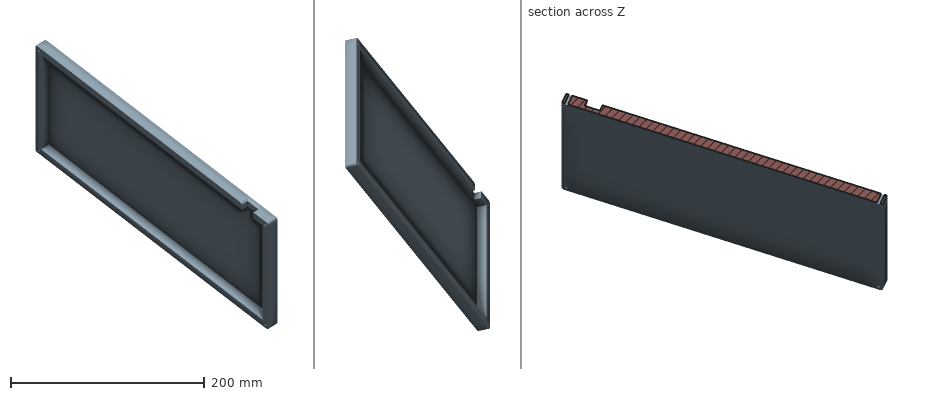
import cadquery as cq

length = 357.5
thickness = 13.0
height = 154.8
corner_radius = 3.05

rim_width = 9.0
tray_depth = 10.7

hole_diameter = 3.4
hole_inset = 5.0

notch_width = 16.5
notch_depth = 7.5
notch_center_x = 146.5
bevel_width = 2.5
bevel_drop = 1.0

front_y = -thickness / 2
top_z = height / 2


def make_panel():
    """Solid plate with its four thickness-direction edges rounded."""
    return cq.Workplane("XY").box(length, thickness, height).edges("|Y").fillet(corner_radius)


def make_tray():
    """Rectangular cavity inside the rim."""
    return cq.Workplane("XY").box(
        length - 2 * rim_width, tray_depth, height - 2 * rim_width
    ).translate((0, front_y + tray_depth / 2, 0))


def make_holes():
    """Four corner holes running through the full thickness."""
    return (
        cq.Workplane("XZ", origin=(0, -front_y, 0))
        .rect(length - 2 * hole_inset, height - 2 * hole_inset, forConstruction=True)
        .vertices()
        .circle(hole_diameter / 2)
        .extrude(thickness)
    )


def make_notch():
    """Slot from the top face into the tray, with a bevelled mouth.

    The outlines are centred on the front face, so half of each lies inside the panel.
    """
    slot = (
        cq.Workplane("XY", origin=(notch_center_x, front_y, top_z - rim_width))
        .rect(notch_width, 2 * notch_depth)
        .extrude(rim_width)
    )
    mouth = (
        cq.Workplane("XY", origin=(notch_center_x, front_y, top_z - bevel_drop))
        .rect(notch_width, 2 * notch_depth)
        .workplane(offset=bevel_drop)
        .rect(notch_width + 2 * bevel_width, 2 * (notch_depth + bevel_width))
        .loft(ruled=True)
    )
    return slot.union(mouth)


result = make_panel().cut(make_tray()).cut(make_holes()).cut(make_notch())